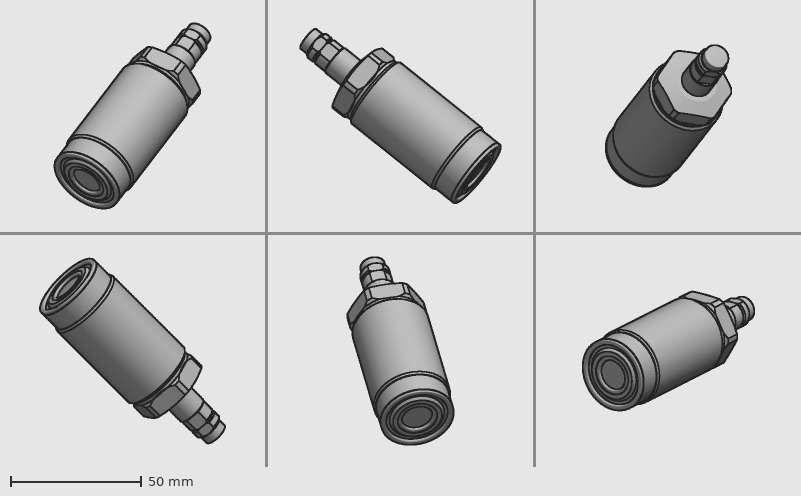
import cadquery as cq
import math


HOUSING_RADIUS = 30.0 / 2
NOSE_RADIUS = 14.3
NOSE_START = 1.4
NOSE_END = 9.3
SHOULDER_RADIUS = 14.5
SHOULDER_LENGTH = 1.1
HOUSING_END = 51.7
REAR_CHAMFER_LENGTH = 1.1

SEAL_BORE_RADIUS = 12.1
SEAL_EDGE_ROUND = 0.4
SEAL_BORE_ROUND = 0.8

CORE_FLOOR = 1.2
BOSS_BASE_RADIUS = 10.7
BOSS_RADIUS = 9.6
BOSS_FACE = 0

RETAINER_RADIUS = 7.7
RETAINER_BORE_RADIUS = 5.95
RETAINER_FACE = 0
RETAINER_EDGE_ROUND = 0.4
RETAINER_BORE_ROUND = 0.6
MEMBRANE_FACE = 1.2

NECK_RADIUS = 14.0
NECK_END = 53.1
PLUG_SIDES = 6
PLUG_FLAT_DISTANCE = 13.5
PLUG_RAMP_ANGLE = 45
PLUG_CONE_LENGTH = 1.2
PLUG_CORNER_END = 60.0
PLUG_END = 62.05
PLUG_FACE_RADIUS = 8.25

GLAND_FLATS = 2
GLAND_FLAT_DISTANCE = 5.0
GLAND_GRIP_RADIUS = 5.8
COLLAR_RADIUS = 6.0
COLLAR_CHAMFER = 0.3
COLLAR_END = 71.2
GLAND_GROOVE_RADIUS = 5.3
GLAND_BODY_END = 76.9
GLAND_BODY_CONE_LENGTH = 0.8
NUT_REAR_CONE_LENGTH = 0.6
NUT_CONE_RADIUS = 5.0
NUT_CONE_START = 80.1
GLAND_NUT_END = 81.0

TIP_RADIUS = 4.85
TIP_EDGE_ROUND = 0.3
TIP_DOME_START = 84.7
TIP_END = 85.0

EDGE_MARGIN = 0.1


def revolve_profile(profile):
    """Turn an outline of (radius, y) points around the Y axis."""
    return cq.Workplane("XY").polyline(profile).close().revolve(360, (0, 0, 0), (0, 1, 0))


def plain_ring(outer, bore, front, back):
    """Square-edged ring along Y, or a disc if the bore is zero."""
    return revolve_profile([(bore, front), (outer, front), (outer, back), (bore, back)])


def round_edge(ring, radius, y, size):
    """Round the circular edge that has the given radius and lies at height y."""
    reach = radius + EDGE_MARGIN
    near_edge = cq.selectors.BoxSelector(
        (-reach, y - EDGE_MARGIN, -reach), (reach, y + EDGE_MARGIN, reach), boundingbox=True
    )
    return ring.edges(near_edge).edges(cq.selectors.RadiusNthSelector(-1)).fillet(size)


def flat_cutter(distance, start, end, ramp_angle=0):
    """Block above z = distance from start to end; its front end leans forward by ramp_angle degrees."""
    reach = HOUSING_RADIUS
    lead = (reach - distance) * math.tan(math.radians(ramp_angle))
    profile = [(start, distance), (start - lead, reach), (end, reach), (end, distance)]
    return cq.Workplane("YZ").polyline(profile).close().extrude(reach, both=True)


def cut_flats(body, cutter, count):
    """Cut equally spaced flats around the Y axis."""
    for side in range(count):
        body = body.cut(cutter.rotate((0, 0, 0), (0, 1, 0), 360 / count * side))
    return body


def make_housing():
    return revolve_profile([
        (0, NOSE_START),
        (NOSE_RADIUS, NOSE_START),
        (NOSE_RADIUS, NOSE_END),
        (SHOULDER_RADIUS, NOSE_END),
        (HOUSING_RADIUS, NOSE_END + SHOULDER_LENGTH),
        (HOUSING_RADIUS, HOUSING_END - REAR_CHAMFER_LENGTH),
        (NECK_RADIUS, HOUSING_END),
        (0, HOUSING_END),
    ])


def make_seal_ring():
    ring = plain_ring(NOSE_RADIUS, SEAL_BORE_RADIUS, 0, NOSE_START)
    ring = round_edge(ring, NOSE_RADIUS, 0, SEAL_EDGE_ROUND)
    ring = round_edge(ring, NOSE_RADIUS, NOSE_START, SEAL_EDGE_ROUND)
    return round_edge(ring, SEAL_BORE_RADIUS, 0, SEAL_BORE_ROUND)


def make_core():
    return revolve_profile([
        (0, MEMBRANE_FACE),
        (RETAINER_RADIUS, MEMBRANE_FACE),
        (RETAINER_RADIUS, BOSS_FACE),
        (BOSS_RADIUS, BOSS_FACE),
        (BOSS_BASE_RADIUS, CORE_FLOOR),
        (SEAL_BORE_RADIUS, CORE_FLOOR),
        (SEAL_BORE_RADIUS, NOSE_START),
        (0, NOSE_START),
    ])


def make_retainer():
    ring = plain_ring(RETAINER_RADIUS, RETAINER_BORE_RADIUS, RETAINER_FACE, MEMBRANE_FACE)
    ring = round_edge(ring, RETAINER_RADIUS, RETAINER_FACE, RETAINER_EDGE_ROUND)
    return round_edge(ring, RETAINER_BORE_RADIUS, RETAINER_FACE, RETAINER_BORE_ROUND)


def make_plug():
    plug = revolve_profile([
        (0, HOUSING_END),
        (NECK_RADIUS, HOUSING_END),
        (NECK_RADIUS, NECK_END),
        (HOUSING_RADIUS, NECK_END + PLUG_CONE_LENGTH),
        (HOUSING_RADIUS, PLUG_CORNER_END),
        (PLUG_FACE_RADIUS, PLUG_END),
        (0, PLUG_END),
    ])
    cutter = flat_cutter(PLUG_FLAT_DISTANCE, NECK_END, PLUG_END, PLUG_RAMP_ANGLE)
    return cut_flats(plug, cutter, PLUG_SIDES)


def make_gland_body():
    body = revolve_profile([
        (0, PLUG_END),
        (COLLAR_RADIUS, PLUG_END),
        (COLLAR_RADIUS, COLLAR_END - COLLAR_CHAMFER),
        (GLAND_GRIP_RADIUS, COLLAR_END),
        (GLAND_GRIP_RADIUS, GLAND_BODY_END - GLAND_BODY_CONE_LENGTH),
        (GLAND_GROOVE_RADIUS, GLAND_BODY_END),
        (0, GLAND_BODY_END),
    ])
    cutter = flat_cutter(GLAND_FLAT_DISTANCE, COLLAR_END - COLLAR_CHAMFER / 2, GLAND_BODY_END)
    return cut_flats(body, cutter, GLAND_FLATS)


def make_gland_nut():
    nut = revolve_profile([
        (0, GLAND_BODY_END),
        (GLAND_GROOVE_RADIUS, GLAND_BODY_END),
        (GLAND_GRIP_RADIUS, GLAND_BODY_END + NUT_REAR_CONE_LENGTH),
        (GLAND_GRIP_RADIUS, NUT_CONE_START),
        (NUT_CONE_RADIUS, GLAND_NUT_END),
        (0, GLAND_NUT_END),
    ])
    cutter = flat_cutter(GLAND_FLAT_DISTANCE, GLAND_BODY_END, GLAND_NUT_END)
    return cut_flats(nut, cutter, GLAND_FLATS)


def make_tip():
    tip = plain_ring(TIP_RADIUS, 0, GLAND_NUT_END, TIP_DOME_START)
    for end in (GLAND_NUT_END, TIP_DOME_START):
        tip = round_edge(tip, TIP_RADIUS, end, TIP_EDGE_ROUND)
    dome_radius = TIP_RADIUS - TIP_EDGE_ROUND
    dome_height = TIP_END - TIP_DOME_START
    sphere_radius = (dome_radius**2 + dome_height**2) / (2 * dome_height)
    ball = cq.Workplane("XY").sphere(sphere_radius).translate((0, TIP_END - sphere_radius, 0))
    dome = plain_ring(dome_radius, 0, TIP_DOME_START, TIP_END).intersect(ball)
    return tip.union(dome)


housing = make_housing()
seal_ring = make_seal_ring()
core = make_core()
retainer = make_retainer()
plug = make_plug()
gland_body = make_gland_body()
gland_nut = make_gland_nut()
tip = make_tip()

result = cq.Compound.makeCompound([
    housing.val(),
    seal_ring.val(),
    core.val(),
    retainer.val(),
    plug.val(),
    gland_body.val(),
    gland_nut.val(),
    *tip.solids().vals(),
])